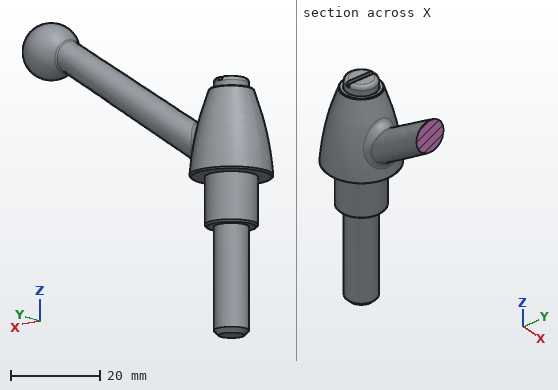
import cadquery as cq
import math

PIN_DIAMETER = 8.0
PIN_CHAMFER = 1.1
SLEEVE_DIAMETER = 12.0
SLEEVE_BOTTOM = 24.9
SLEEVE_CHAMFER = 0.5

HUB_BOTTOM = 36.35
HUB_TOP = 56.4
HUB_BASE_DIAMETER = 18.9
HUB_BASE_RADIUS = HUB_BASE_DIAMETER / 2
HUB_MIDDLE_RADIUS = 7.8
HUB_MIDDLE_HEIGHT = 47.3
HUB_TOP_RADIUS = 5.1
HUB_RIM_CHAMFER = 0.4
HUB_TOP_CHAMFER = 0.2

HEAD_TOP = 58.9
HEAD_DIAMETER = 8.0
HEAD_ROUNDING = 1.0
HEAD_BORE_DIAMETER = 8.2
HEAD_BORE_DEPTH = 0.8
SLOT_WIDTH = 1.0
SLOT_DEPTH = 0.95

OVERALL_LENGTH = 68.3
OVERALL_HEIGHT = 79.0
BALL_RADIUS = 6.5
BALL_X = OVERALL_LENGTH - HUB_BASE_RADIUS - BALL_RADIUS
BALL_Z = OVERALL_HEIGHT - BALL_RADIUS

ARM_ANGLE = 33.8
ARM_RISE_OVER_BALL = 1.65
ARM_WIDTH = 8.0
ARM_ROOT_THICKNESS = 7.7
ARM_TIP_THICKNESS = 6.95
ARM_ROOT_X = 3.95
ARM_TIP_X = 49.0
ARM_ROOT_FILLET = 2.0
ARM_TIP_FILLET = 0.6


def make_pin():
    return (
        cq.Workplane("XY")
        .circle(PIN_DIAMETER / 2)
        .extrude(HUB_BOTTOM)
        .faces("<Z")
        .chamfer(PIN_CHAMFER)
    )


def make_sleeve():
    return (
        cq.Workplane("XY", origin=(0, 0, SLEEVE_BOTTOM))
        .circle(SLEEVE_DIAMETER / 2)
        .extrude(HUB_BOTTOM - SLEEVE_BOTTOM)
        .faces("<Z")
        .chamfer(SLEEVE_CHAMFER)
    )


def make_hub():
    return (
        cq.Workplane("XZ")
        .moveTo(0, HUB_BOTTOM)
        .lineTo(HUB_BASE_RADIUS - HUB_RIM_CHAMFER, HUB_BOTTOM)
        .lineTo(HUB_BASE_RADIUS, HUB_BOTTOM + HUB_RIM_CHAMFER)
        .threePointArc(
            (HUB_MIDDLE_RADIUS, HUB_MIDDLE_HEIGHT),
            (HUB_TOP_RADIUS, HUB_TOP - HUB_TOP_CHAMFER),
        )
        .lineTo(HUB_TOP_RADIUS - HUB_TOP_CHAMFER, HUB_TOP)
        .lineTo(0, HUB_TOP)
        .close()
        .revolve(360, (0, 0, 0), (0, 1, 0))
        .rotate((0, 0, 0), (0, 0, 1), 180)
    )


def make_screw_head():
    head = (
        cq.Workplane("XY", origin=(0, 0, HUB_TOP - HEAD_BORE_DEPTH))
        .circle(HEAD_DIAMETER / 2)
        .extrude(HEAD_TOP - HUB_TOP + HEAD_BORE_DEPTH)
        .faces(">Z")
        .edges()
        .fillet(HEAD_ROUNDING)
    )
    slot = cq.Workplane("XY", origin=(0, 0, HEAD_TOP - SLOT_DEPTH)).box(
        SLOT_WIDTH, HEAD_DIAMETER, SLOT_DEPTH, centered=(True, True, False)
    )
    return head.cut(slot)


def make_arm():
    angle = math.radians(ARM_ANGLE)
    root_z = BALL_Z + ARM_RISE_OVER_BALL - (BALL_X - ARM_ROOT_X) * math.tan(angle)
    length = (ARM_TIP_X - ARM_ROOT_X) / math.cos(angle)
    section_plane = cq.Plane(
        origin=(ARM_ROOT_X, 0, root_z),
        xDir=(0, 1, 0),
        normal=(math.cos(angle), 0, math.sin(angle)),
    )
    return (
        cq.Workplane(section_plane)
        .ellipse(ARM_WIDTH / 2, ARM_ROOT_THICKNESS / 2)
        .workplane(offset=length)
        .ellipse(ARM_WIDTH / 2, ARM_TIP_THICKNESS / 2)
        .loft()
    )


def make_ball():
    return cq.Workplane("XY", origin=(BALL_X, 0, BALL_Z)).sphere(BALL_RADIUS)


def make_head_bore():
    return (
        cq.Workplane("XY", origin=(0, 0, HUB_TOP - HEAD_BORE_DEPTH))
        .circle(HEAD_BORE_DIAMETER / 2)
        .extrude(HEAD_BORE_DEPTH)
    )


ball_region = cq.selectors.BoxSelector(
    (BALL_X - BALL_RADIUS, -BALL_RADIUS, BALL_Z - BALL_RADIUS),
    (BALL_X, BALL_RADIUS, BALL_Z + BALL_RADIUS),
)
arm_and_ball = make_arm().union(make_ball())
arm_and_ball = arm_and_ball.edges(ball_region).fillet(ARM_TIP_FILLET)

root_region = cq.selectors.BoxSelector(
    (HUB_TOP_RADIUS, -HUB_TOP_RADIUS, HUB_BOTTOM + HUB_RIM_CHAMFER),
    (2 * HUB_BASE_RADIUS, HUB_TOP_RADIUS, HUB_TOP),
)
handle = make_hub().union(arm_and_ball).edges(root_region).fillet(ARM_ROOT_FILLET)

result = (
    handle.cut(make_head_bore())
    .union(make_sleeve())
    .union(make_pin())
    .union(make_screw_head())
)